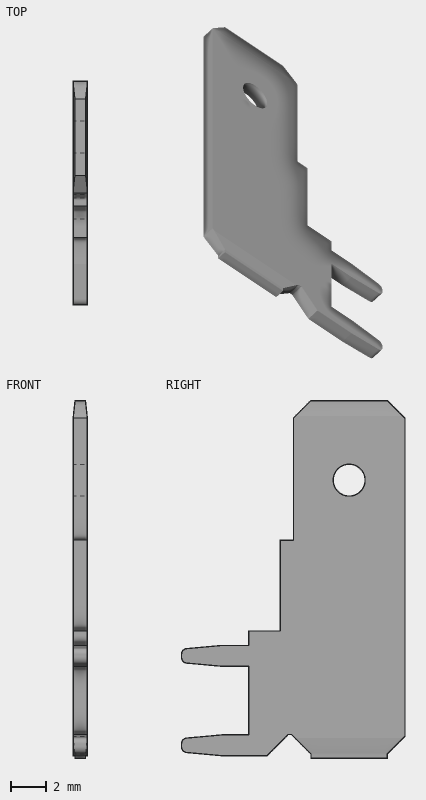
import cadquery as cq

thickness = 0.8
total_height = 20.32
total_depth = 12.7

blade_width = 6.35
corner_chamfer = 1.0
hole_diameter = 1.8
hole_from_top = 4.52

bevel_height = 0.9
edge_thickness = 0.6
lip_height = 0.25

upper_shoulder_depth = 7.1
lower_shoulder_depth = 8.89
upper_shoulder_from_top = 7.93
lower_shoulder_from_top = 13.08
upper_shoulder_z = total_height - upper_shoulder_from_top
lower_shoulder_z = total_height - lower_shoulder_from_top

pin_pitch = 5.08
pin_width = 1.2
pin_tip_width = 0.78
pin_straight_length = 1.5
pin_tip_radius = 0.33
lower_pin_z = 0.74
pin_bottom_z = lower_pin_z - pin_width / 2
pin_top_z = lower_pin_z + pin_width / 2

notch_flat = 0.2
lip_front = blade_width - corner_chamfer
notch_start = lip_front + pin_top_z - lip_height
notch_end = notch_start + notch_flat
notch_foot = notch_end + pin_width


def plate(points):
    """Extrude a closed outline of (depth, z) points to the sheet thickness."""
    outline = [(-depth, z) for depth, z in points]
    return cq.Workplane("YZ").polyline(outline).close().extrude(thickness / 2, both=True)


def make_body():
    """Blade with its stepped shoulders, lip and the root of the lower pin."""
    return plate([
        (corner_chamfer, 0),
        (lip_front, 0),
        (lip_front, lip_height),
        (notch_start, pin_top_z),
        (notch_end, pin_top_z),
        (notch_foot, pin_bottom_z),
        (lower_shoulder_depth, pin_bottom_z),
        (lower_shoulder_depth, lower_shoulder_z),
        (upper_shoulder_depth, lower_shoulder_z),
        (upper_shoulder_depth, upper_shoulder_z),
        (blade_width, upper_shoulder_z),
        (blade_width, total_height - corner_chamfer),
        (blade_width - corner_chamfer, total_height),
        (corner_chamfer, total_height),
        (0, total_height - corner_chamfer),
        (0, lip_height + corner_chamfer),
        (corner_chamfer, lip_height),
    ])


def make_pin(center_z):
    """Straight pin that tapers to a tip with rounded corners."""
    taper_start = lower_shoulder_depth + pin_straight_length
    half_width = pin_width / 2
    half_tip = pin_tip_width / 2
    pin = plate([
        (lower_shoulder_depth, center_z - half_width),
        (taper_start, center_z - half_width),
        (total_depth, center_z - half_tip),
        (total_depth, center_z + half_tip),
        (taper_start, center_z + half_width),
        (lower_shoulder_depth, center_z + half_width),
    ])
    return pin.faces("<Y").edges("|X").fillet(pin_tip_radius)


def cut_bevel(body, points):
    """Thin one end of the blade on both faces, given one face's (x, z) outline."""
    cutter = cq.Workplane("XZ").polyline(points).close().extrude(blade_width)
    return body.cut(cutter).cut(cutter.mirror("YZ"))


def bevel_top(body):
    return cut_bevel(body, [
        (thickness / 2, total_height - bevel_height),
        (edge_thickness / 2, total_height),
        (thickness / 2, total_height),
    ])


def bevel_bottom(body):
    """Bevel the lower end and keep the lip below it at the thin edge thickness."""
    return cut_bevel(body, [
        (thickness / 2, lip_height + bevel_height),
        (edge_thickness / 2, lip_height),
        (edge_thickness / 2, 0),
        (thickness / 2, 0),
    ])


def cut_hole(body):
    """Detent hole through the sheet, centred across the blade."""
    hole = (
        cq.Workplane("YZ")
        .center(-blade_width / 2, total_height - hole_from_top)
        .circle(hole_diameter / 2)
        .extrude(thickness, both=True)
    )
    return body.cut(hole)


result = make_body()
for pin_z in (lower_pin_z, lower_pin_z + pin_pitch):
    result = result.union(make_pin(pin_z))
result = bevel_top(result)
result = bevel_bottom(result)
result = cut_hole(result)